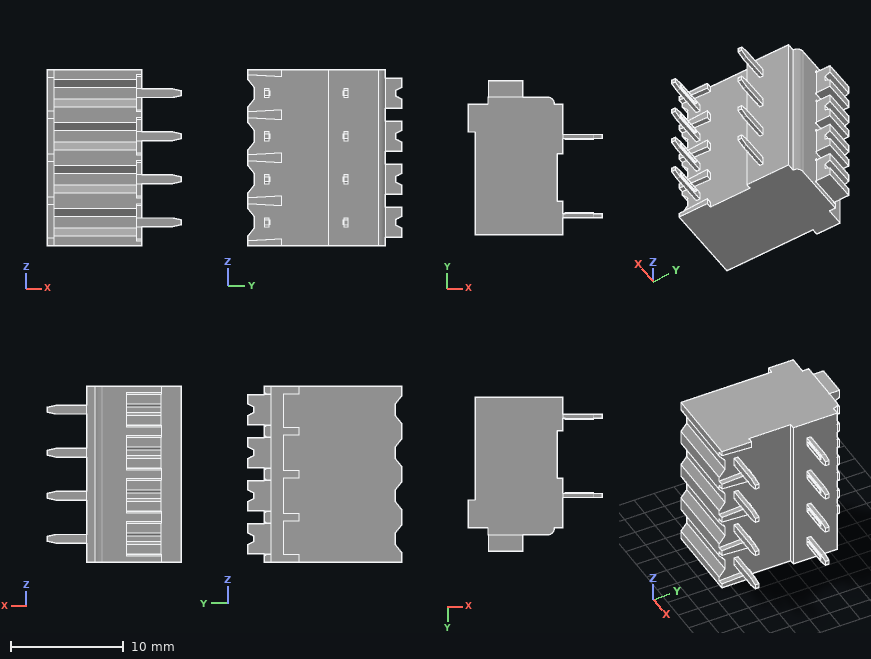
import cadquery as cq

pole_count = 4
pitch = 3.81
end_margin = 2.1
length = (pole_count - 1) * pitch + 2 * end_margin
pole_centres = [end_margin + i * pitch for i in range(pole_count)]

flange_depth = 0.62
body_right = 8.4
shoulder_y = 11.57
crown_left = 1.75
crown_right = 7.65
crown_top = 12.2
crown_radius = 0.6
relief_depth = 0.5
relief_floor = body_right - relief_depth
relief_bottom = 2.99
relief_top = 7.16

flange_bottom = 10.5
finger_tip = 9.09
finger_width = 0.69
half_finger = finger_width / 2

groove_depth = 0.58
groove_half_mouth = 1.23
groove_half_floor = 0.5

pocket_half_mouth = 1.64
pocket_half_inner = 1.47

lever_left = 1.8
lever_right = 4.86
lever_top = 13.65
lever_half_width = 1.34
lever_notch_depth = 0.52
lever_notch_half_mouth = 0.51
lever_notch_half_floor = 0.25
slot_clearance = 0.05
slot_half_width = lever_half_width + slot_clearance
slot_flare_width = 0.13
slot_flare_height = 0.25

pin_half_width = 0.4
pin_thickness = 0.38
pin_end = 11.9
pin_taper_start = 11.1
pin_half_tip = 0.22
lower_pin_y = 1.5
upper_pin_y = 8.9
rib_start = 8.6
rib_end = pin_taper_start
rib_width = 0.42
rib_height = 0.1
rib_embed = 0.1


def box(x0, x1, y0, y1, z0, z1):
    return cq.Workplane("XY").box(x1 - x0, y1 - y0, z1 - z0, centered=False).translate((x0, y0, z0))


def prism_along_x(points_yz, x0, x1):
    return cq.Workplane("YZ", origin=(x0, 0, 0)).polyline(points_yz).close().extrude(x1 - x0)


def mirrored_about(z_centre, half_profile):
    """Close a (y, half width) profile symmetrically about z_centre."""
    upper = [(y, z_centre + half) for y, half in half_profile]
    lower = [(y, z_centre - half) for y, half in reversed(half_profile)]
    return upper + lower


def make_body():
    return (
        cq.Workplane("XY")
        .moveTo(flange_depth, 0)
        .lineTo(body_right, 0)
        .lineTo(body_right, relief_bottom)
        .lineTo(relief_floor, relief_bottom)
        .lineTo(relief_floor, relief_top)
        .lineTo(body_right, relief_top)
        .lineTo(body_right, shoulder_y)
        .lineTo(crown_right, shoulder_y)
        .lineTo(crown_right, crown_top - crown_radius)
        .radiusArc((crown_right - crown_radius, crown_top), -crown_radius)
        .lineTo(crown_left, crown_top)
        .lineTo(crown_left, shoulder_y)
        .lineTo(flange_depth, shoulder_y)
        .close()
        .extrude(length)
    )


def make_flange():
    flange = box(0, flange_depth, flange_bottom, shoulder_y, 0, length)
    between_poles = [z + pitch / 2 for z in pole_centres[:-1]]
    finger_centres = [half_finger] + between_poles + [length - half_finger]
    for z in finger_centres:
        finger = box(0, flange_depth, finger_tip, flange_bottom, z - half_finger, z + half_finger)
        flange = flange.union(finger)
    return flange


def make_groove(z):
    profile = [(0, groove_half_mouth), (groove_depth, groove_half_floor)]
    return prism_along_x(mirrored_about(z, profile), flange_depth, body_right)


def make_pin_pocket(z):
    profile = [(0, pocket_half_mouth), (relief_bottom, pocket_half_inner)]
    return prism_along_x(mirrored_about(z, profile), relief_floor, body_right)


def make_lever_slot(z):
    profile = [
        (shoulder_y, slot_half_width),
        (crown_top - slot_flare_height, slot_half_width),
        (crown_top, slot_half_width + slot_flare_width),
    ]
    return prism_along_x(mirrored_about(z, profile), crown_left, lever_right)


def make_lever(z):
    profile = [
        (shoulder_y, lever_half_width),
        (lever_top, lever_half_width),
        (lever_top, lever_notch_half_mouth),
        (lever_top - lever_notch_depth, lever_notch_half_floor),
    ]
    return prism_along_x(mirrored_about(z, profile), lever_left, lever_right)


def make_pin(z, outer_y, inward):
    """Flat tapered pin with a raised rib on its inner face; inward is +1 or -1 along Y."""
    blade = (
        cq.Workplane("XZ", origin=(0, outer_y, 0))
        .moveTo(relief_floor, z - pin_half_width)
        .lineTo(pin_taper_start, z - pin_half_width)
        .lineTo(pin_end, z - pin_half_tip)
        .lineTo(pin_end, z + pin_half_tip)
        .lineTo(pin_taper_start, z + pin_half_width)
        .lineTo(relief_floor, z + pin_half_width)
        .close()
        .extrude(-inward * pin_thickness)
    )
    rib_base = outer_y + inward * (pin_thickness - rib_embed)
    rib = (
        cq.Workplane("XZ", origin=(0, rib_base, 0))
        .center((rib_start + rib_end) / 2, z)
        .slot2D(rib_end - rib_start, rib_width)
        .extrude(-inward * (rib_embed + rib_height))
    )
    return blade.union(rib)


result = make_body().union(make_flange())
for pole_z in pole_centres:
    result = result.cut(make_groove(pole_z)).cut(make_pin_pocket(pole_z)).cut(make_lever_slot(pole_z))
    result = result.union(make_lever(pole_z))
    result = result.union(make_pin(pole_z, lower_pin_y, 1)).union(make_pin(pole_z, upper_pin_y, -1))